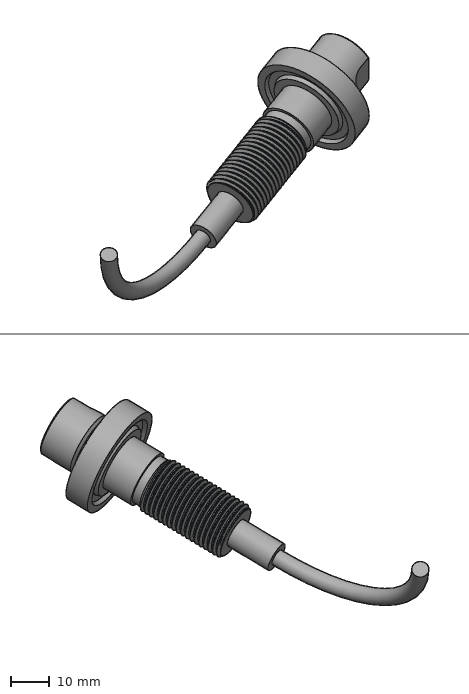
import cadquery as cq
TOTAL_LENGTH = 114.4

HEAD_RADIUS = 8.5
FLANGE_RADIUS = 15.0
BARREL_RADIUS = 7.8
ROOT_RADIUS = 7.0
SLEEVE_RADIUS = 4.0

HEAD_END = 12.5
FLANGE_END = 19.1
BARREL_END = 27.7
THREAD_END = 55.0

HEAD_CHAMFER = 0.3
HEAD_GROOVE_CENTRE = 10.3
HEAD_GROOVE_DEPTH = 0.8
FLAT_X = 6.8
FLAT_LENGTH = 4.3
FLAT_RUNOUT_RADIUS = 6.3

FACE_GROOVE_INNER_RADIUS = 10.0
FACE_GROOVE_OUTER_RADIUS = 12.8
FACE_GROOVE_TAPER = 0.5
FACE_GROOVE_DEPTH = 1.1

THREAD_START = 30.0
THREAD_CHAMFER = BARREL_RADIUS - ROOT_RADIUS
THREAD_TURNS = 17
LENGTH_OF_TURNS = 23.8
THREAD_PITCH = LENGTH_OF_TURNS / THREAD_TURNS
CREST_WIDTH = THREAD_PITCH / 8
RIDGE_BASE_WIDTH = 0.75 * THREAD_PITCH
RIDGE_EMBED = 0.1

CABLE_DIAMETER = 4.5
CABLE_RADIUS = CABLE_DIAMETER / 2
CABLE_BEND_RADIUS = 44.5
SLEEVE_END = TOTAL_LENGTH - CABLE_BEND_RADIUS - CABLE_RADIUS


def revolve_about_y(points):
    """Turn a closed outline of (radius, y) points about the Y axis."""
    return cq.Workplane("XY").polyline(points).close().revolve(360, (0, 0), (0, 1))


def turned_blank():
    """The plain stepped shape of the housing."""
    return revolve_about_y([
        (0, 0),
        (HEAD_RADIUS - HEAD_CHAMFER, 0),
        (HEAD_RADIUS, -HEAD_CHAMFER),
        (HEAD_RADIUS, -HEAD_GROOVE_CENTRE + HEAD_GROOVE_DEPTH),
        (HEAD_RADIUS - HEAD_GROOVE_DEPTH, -HEAD_GROOVE_CENTRE),
        (HEAD_RADIUS, -HEAD_GROOVE_CENTRE - HEAD_GROOVE_DEPTH),
        (HEAD_RADIUS, -HEAD_END),
        (FLANGE_RADIUS, -HEAD_END),
        (FLANGE_RADIUS, -FLANGE_END),
        (BARREL_RADIUS, -FLANGE_END),
        (BARREL_RADIUS, -BARREL_END),
        (ROOT_RADIUS, -BARREL_END),
        (ROOT_RADIUS, -THREAD_END),
        (SLEEVE_RADIUS, -THREAD_END),
        (SLEEVE_RADIUS, -SLEEVE_END),
        (0, -SLEEVE_END),
    ])


def face_groove():
    """Ring groove whose two walls taper toward a flat floor."""
    floor_y = -FLANGE_END + FACE_GROOVE_DEPTH
    return revolve_about_y([
        (FACE_GROOVE_INNER_RADIUS, -FLANGE_END),
        (FACE_GROOVE_INNER_RADIUS + FACE_GROOVE_TAPER, floor_y),
        (FACE_GROOVE_OUTER_RADIUS - FACE_GROOVE_TAPER, floor_y),
        (FACE_GROOVE_OUTER_RADIUS, -FLANGE_END),
    ])


def head_flat():
    """Cutter for the flat on the +X side of the head, which runs out through a concave arc."""
    arc_centre_x = FLAT_X + FLAT_RUNOUT_RADIUS
    runout = (
        cq.Workplane("XY")
        .center(arc_centre_x, -FLAT_LENGTH)
        .circle(FLAT_RUNOUT_RADIUS)
        .extrude(HEAD_RADIUS, both=True)
    )
    straight = cq.Workplane("XY").box(
        FLAT_RUNOUT_RADIUS, FLAT_LENGTH, 2 * HEAD_RADIUS, centered=(False, False, True)
    ).translate((FLAT_X, -FLAT_LENGTH, 0))
    return runout.union(straight)


def thread_envelope():
    """Trimmer for the ridge: 45 degree chamfers at both ends, clear of the crest in between."""
    clearance = 2 * THREAD_CHAMFER
    return revolve_about_y([
        (0, -THREAD_START),
        (ROOT_RADIUS, -THREAD_START),
        (ROOT_RADIUS + clearance, -THREAD_START - clearance),
        (ROOT_RADIUS + clearance, -THREAD_END + clearance),
        (ROOT_RADIUS, -THREAD_END),
        (0, -THREAD_END),
    ])


def thread_ridge():
    """Right-handed ridge, centred along the thread, that starts and ends on the -X side.

    It is wound along Z with one extra turn at each end, laid along -Y and trimmed.
    Its profile reaches a little below the root so that it joins the core.
    """
    ridge_length = LENGTH_OF_TURNS + 2 * THREAD_PITCH
    ridge_start = (THREAD_START + THREAD_END - ridge_length) / 2
    helix = cq.Wire.makeHelix(THREAD_PITCH, ridge_length, ROOT_RADIUS)
    flank_slope = (RIDGE_BASE_WIDTH - CREST_WIDTH) / 2 / (BARREL_RADIUS - ROOT_RADIUS)
    half_crest = CREST_WIDTH / 2
    half_base = RIDGE_BASE_WIDTH / 2 + RIDGE_EMBED * flank_slope
    inner_radius = ROOT_RADIUS - RIDGE_EMBED
    ridge = (
        cq.Workplane("XZ")
        .polyline([
            (inner_radius, -half_base),
            (BARREL_RADIUS, -half_crest),
            (BARREL_RADIUS, half_crest),
            (inner_radius, half_base),
        ])
        .close()
        .sweep(cq.Workplane(obj=helix), isFrenet=True)
        .rotate((0, 0, 0), (0, 0, 1), 180)
        .rotate((0, 0, 0), (1, 0, 0), 90)
        .translate((0, -ridge_start, 0))
    )
    return ridge.intersect(thread_envelope())


def make_housing():
    """Turned housing with its seal groove, flat and thread."""
    return turned_blank().cut(face_groove()).cut(head_flat()).union(thread_ridge())


def make_cable():
    """Round cable that leaves the sleeve along -Y and curves up to +Z."""
    return (
        cq.Workplane("XZ", origin=(0, -SLEEVE_END, 0))
        .circle(CABLE_RADIUS)
        .revolve(90, (1.1, CABLE_BEND_RADIUS), (-1.1, CABLE_BEND_RADIUS))
    )


housing = make_housing()
cable = make_cable()

result = cq.Compound.makeCompound([housing.solids().val(), cable.val()])